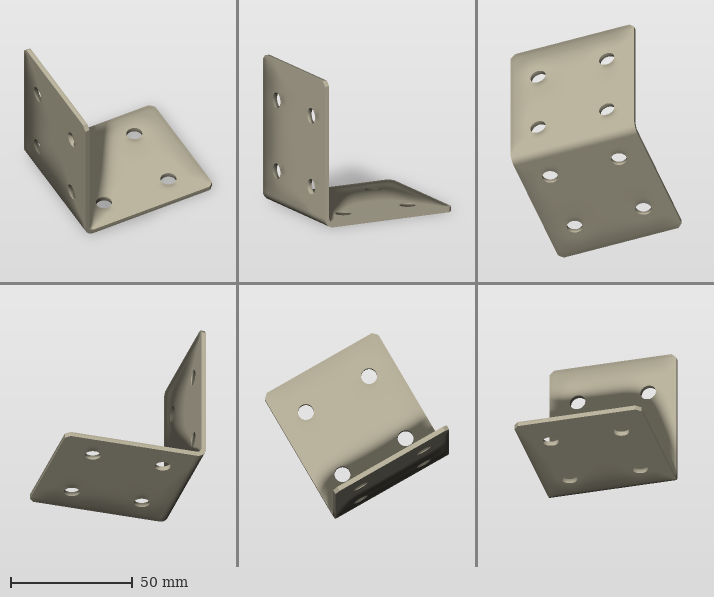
import cadquery as cq

width = 54.0
depth = 60.0
height = 62.0

thickness = 2.0
outer_bend_radius = 4.0
inner_bend_radius = outer_bend_radius - thickness
corner_chamfer = 2.0

hole_diameter = 6.6
hole_spacing = 30.0
first_hole_offset = 15.0


def bent_sheet():
    """L-shaped sheet, with the heel of the bend at Y = 0, Z = 0."""
    blank = (
        cq.Workplane("YZ")
        .polyline([
            (0, 0),
            (depth, 0),
            (depth, thickness),
            (thickness, thickness),
            (thickness, height),
            (0, height),
        ])
        .close()
        .extrude(width / 2, both=True)
    )
    heel = cq.selectors.NearestToPointSelector((0, 0, 0))
    inside = cq.selectors.NearestToPointSelector((0, thickness, thickness))
    bent = blank.edges(heel).fillet(outer_bend_radius)
    return bent.edges(inside).fillet(inner_bend_radius)


def chamfer_free_corners(sheet):
    """Cut the two outer corners at the free end of each leg."""
    sheet = sheet.faces(">Z").edges("|Y").chamfer(corner_chamfer)
    return sheet.faces(">Y").edges("|Z").chamfer(corner_chamfer)


def hole_pins(plane, outward):
    """Four pins through one leg; outward is the sign of the plane's normal."""
    centres = [
        (side * hole_spacing / 2, first_hole_offset + row * hole_spacing)
        for side in (-1, 1)
        for row in (0, 1)
    ]
    return (
        cq.Workplane(plane)
        .pushPoints(centres)
        .circle(hole_diameter / 2)
        .extrude(-outward * thickness)
    )


bracket = chamfer_free_corners(bent_sheet())
upright_holes = hole_pins("XZ", 1)
base_holes = hole_pins("XY", -1)
result = bracket.cut(upright_holes).cut(base_holes)